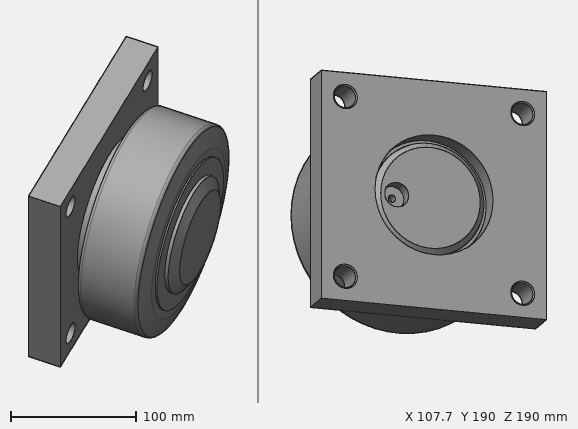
import cadquery as cq

plate_size = 190.0
plate_thickness = 28.0
bolt_spacing = 149.7
bolt_hole_diameter = 17.9
bolt_hole_chamfer = 1.1

neck_radius = 62.0
roller_radius = 89.9
roller_back = 40.3
roller_shoulder = 93.1
roller_shoulder_radius = 88.5
roller_front = 97.5
roller_front_radius = 71.8
roller_edge_radius = 3.0

cover_front = 99.0
cover_radius = 64.6
cap_radius = 49.5
cap_chamfer_start = 102.0
cap_front = 107.7
cap_front_radius = 39.9

recess_radius = 49.8
pin_face_depth = 9.0
pin_radius = 46.7
pin_chamfer_depth = 4.8
pin_chamfer_width = 4.8
recess_depth = 17.1

lube_offset = 28.5
lube_counterbore_radius = 10.0
lube_counterbore_depth = 12.0
lube_bore_radius = 3.0
lube_bore_depth = 10.0
lube_tip_depth = 1.7


def x_cylinder(radius, start, length, y=0):
    """Cylinder along +X starting at the given X."""
    return cq.Workplane("YZ", origin=(start, y, 0)).circle(radius).extrude(length)


def make_plate():
    plate = cq.Workplane("YZ").rect(plate_size, plate_size).extrude(plate_thickness)
    holes = (
        cq.Workplane("YZ")
        .rect(bolt_spacing, bolt_spacing, forConstruction=True)
        .vertices()
        .circle(bolt_hole_diameter / 2)
        .extrude(plate_thickness)
    )
    plate = plate.cut(holes)
    return plate.faces("<X").edges("%CIRCLE").chamfer(bolt_hole_chamfer)


def make_roller():
    """Neck, roller and cap as one body of revolution."""
    neck_start = plate_thickness
    profile = (
        cq.Workplane("XY")
        .moveTo(neck_start, 0)
        .lineTo(neck_start, neck_radius)
        .lineTo(roller_back, neck_radius)
        .lineTo(roller_back, roller_radius - roller_edge_radius)
        .radiusArc((roller_back + roller_edge_radius, roller_radius), roller_edge_radius)
        .lineTo(roller_shoulder - roller_edge_radius, roller_radius)
        .radiusArc((roller_shoulder, roller_shoulder_radius), roller_edge_radius)
        .lineTo(roller_front, roller_front_radius)
        .lineTo(roller_front, cover_radius)
        .lineTo(cover_front, cover_radius)
        .lineTo(cover_front, cap_radius)
        .lineTo(cap_chamfer_start, cap_radius)
        .lineTo(cap_front, cap_front_radius)
        .lineTo(cap_front, 0)
        .close()
    )
    return profile.revolve(360, (0, 0, 0), (1, 0, 0))


def make_pin_end():
    tapered_end = (
        cq.Workplane("XY")
        .moveTo(pin_face_depth, 0)
        .lineTo(pin_face_depth, pin_radius - pin_chamfer_width)
        .lineTo(pin_face_depth + pin_chamfer_depth, pin_radius)
        .lineTo(recess_depth, pin_radius)
        .lineTo(recess_depth, 0)
        .close()
    )
    return tapered_end.revolve(360, (0, 0, 0), (1, 0, 0))


def make_lube_hole():
    """Counterbored blind hole with a conical drill tip."""
    counterbore = x_cylinder(lube_counterbore_radius, pin_face_depth, lube_counterbore_depth, lube_offset)
    bore_start = pin_face_depth + lube_counterbore_depth
    bore = x_cylinder(lube_bore_radius, bore_start, lube_bore_depth, lube_offset)
    tip_start = bore_start + lube_bore_depth
    tip = cq.Workplane(
        cq.Solid.makeCone(
            lube_bore_radius,
            0,
            lube_tip_depth,
            pnt=cq.Vector(tip_start, lube_offset, 0),
            dir=cq.Vector(1, 0, 0),
        )
    )
    return counterbore.union(bore).union(tip)


recess = x_cylinder(recess_radius, 0, recess_depth)
body = make_plate().union(make_roller()).cut(recess)
result = body.union(make_pin_end()).cut(make_lube_hole())